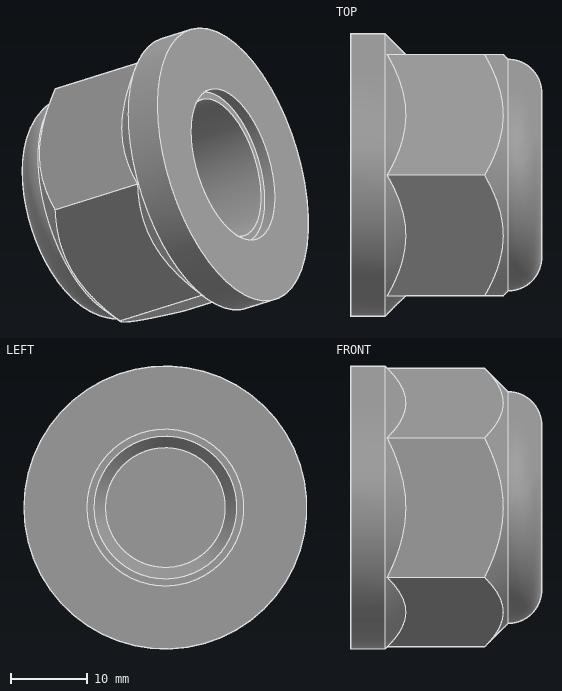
import cadquery as cq
import math

length = 25.0
flange_diameter = 37.0
flange_thickness = 4.5
across_flats = 31.55
dome_diameter = 30.35
dome_radius = 4.45

recess_diameter = 20.5
recess_depth = 1.55
bore_diameter = 18.65
bore_depth = 13.43
bottom_diameter = 15.65

across_corners = across_flats / math.cos(math.pi / 6)
dome_start = length - dome_radius


def revolve_about_x(profile):
    return profile.close().revolve(360, (0, 0, 0), (1, 0, 0))


def make_envelope():
    """Hex blank limits: 45-degree chamfer running down to the dome."""
    corner = across_corners / 2
    dome = dome_diameter / 2
    return revolve_about_x(
        cq.Workplane("XY")
        .lineTo(0, corner)
        .lineTo(dome_start - (corner - dome), corner)
        .lineTo(dome_start, dome)
        .lineTo(dome_start, 0)
    )


def make_hex():
    """Hexagon with corners on +Z and -Z, trimmed by the chamfer."""
    prism = (
        cq.Workplane("YZ")
        .transformed(rotate=(0, 0, 90))
        .polygon(6, across_corners)
        .extrude(dome_start)
    )
    return prism.intersect(make_envelope())


def make_flange():
    """Flange disc with a 45-degree cone rising into the hexagon."""
    cone_height = (flange_diameter - dome_diameter) / 2
    return revolve_about_x(
        cq.Workplane("XY")
        .lineTo(0, flange_diameter / 2)
        .lineTo(flange_thickness, flange_diameter / 2)
        .lineTo(flange_thickness + cone_height, dome_diameter / 2)
        .lineTo(flange_thickness + cone_height, 0)
    )


def make_dome():
    """Closed end cap with a quarter-round rim."""
    return (
        cq.Workplane("YZ", origin=(flange_thickness, 0, 0))
        .circle(dome_diameter / 2)
        .extrude(length - flange_thickness)
        .faces(">X").edges().fillet(dome_radius)
    )


def make_bore():
    """Blind bore with a face recess and a 45-degree bottom chamfer."""
    bottom_chamfer = (bore_diameter - bottom_diameter) / 2
    return revolve_about_x(
        cq.Workplane("XY")
        .lineTo(0, recess_diameter / 2)
        .lineTo(recess_depth, recess_diameter / 2)
        .lineTo(recess_depth, bore_diameter / 2)
        .lineTo(bore_depth, bore_diameter / 2)
        .lineTo(bore_depth + bottom_chamfer, bottom_diameter / 2)
        .lineTo(bore_depth + bottom_chamfer, 0)
    )


result = make_flange().union(make_hex()).union(make_dome()).cut(make_bore())